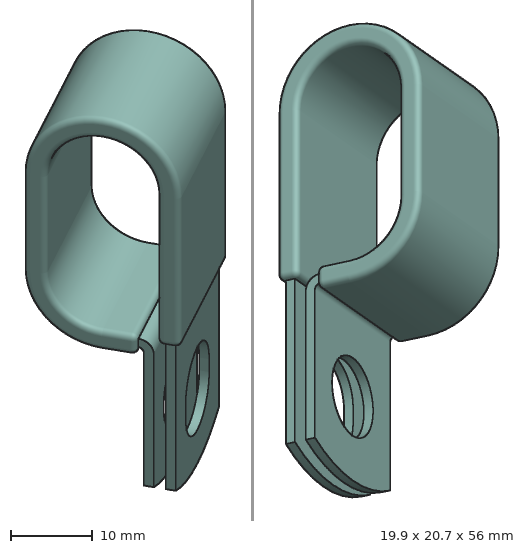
import cadquery as cq

strap_thickness = 1.3
strap_width = 19.1
tab_tip_sag = 2.2
hole_diameter = 10.35
slot_length = 12.25
hole_height = 11.15

cushion_margin = 0.8
cushion_thickness = strap_thickness + 2 * cushion_margin
cushion_width = strap_width + 2 * cushion_margin

total_height = 55.95
outer_radius = 9.95
straight_height = 14.25
shelf_length = 4.4
long_side_end = 23.9

top_center = total_height - outer_radius
low_center = top_center - straight_height

bend_inner_radius = 0.65
bend_outer_radius = bend_inner_radius + strap_thickness
strap_radius = outer_radius - cushion_margin
strap_bottom = low_center - strap_radius
bend_center_z = strap_bottom - bend_inner_radius
left_tab_x = shelf_length + bend_inner_radius
right_tab_x = strap_radius - strap_thickness


def centered_extrude(profile, width):
    """Extrude an XZ profile symmetrically about y = 0."""
    return profile.extrude(width / 2, both=True)


def make_cushion():
    inner_radius = outer_radius - cushion_thickness
    profile = (
        cq.Workplane("XZ")
        .moveTo(outer_radius, long_side_end)
        .lineTo(outer_radius, top_center)
        .threePointArc((0, total_height), (-outer_radius, top_center))
        .lineTo(-outer_radius, low_center)
        .radiusArc((0, low_center - outer_radius), -outer_radius)
        .lineTo(shelf_length, low_center - outer_radius)
        .lineTo(shelf_length, low_center - inner_radius)
        .lineTo(0, low_center - inner_radius)
        .radiusArc((-inner_radius, low_center), inner_radius)
        .lineTo(-inner_radius, top_center)
        .threePointArc((0, top_center + inner_radius), (inner_radius, top_center))
        .lineTo(inner_radius, long_side_end)
        .close()
    )
    cushion = centered_extrude(profile, cushion_width)
    long_end = cushion.faces(cq.selectors.NearestToPointSelector(
        (outer_radius - cushion_thickness / 2, 0, long_side_end)))
    shelf_end = cushion.faces(cq.selectors.NearestToPointSelector(
        (shelf_length, 0, low_center - outer_radius + cushion_thickness / 2)))
    rims = cushion.faces("<Y or >Y").edges()
    rounded_edges = rims.add(long_end.edges("|Y")).add(shelf_end.edges("|Y"))
    return rounded_edges.fillet(cushion_margin)


def make_left_tab():
    """Bent strap end, starting inside the lower run of the cushion."""
    profile = (
        cq.Workplane("XZ")
        .moveTo(0, strap_bottom)
        .lineTo(shelf_length, strap_bottom)
        .radiusArc((left_tab_x, bend_center_z), bend_inner_radius)
        .lineTo(left_tab_x, 0)
        .lineTo(left_tab_x + strap_thickness, 0)
        .lineTo(left_tab_x + strap_thickness, bend_center_z)
        .radiusArc((shelf_length, bend_center_z + bend_outer_radius), -bend_outer_radius)
        .lineTo(0, bend_center_z + bend_outer_radius)
        .close()
    )
    return centered_extrude(profile, strap_width)


def make_right_tab():
    """Straight strap end, starting inside the right side of the cushion."""
    profile = (
        cq.Workplane("XZ")
        .moveTo(right_tab_x, 0)
        .lineTo(strap_radius, 0)
        .lineTo(strap_radius, top_center)
        .lineTo(right_tab_x, top_center)
        .close()
    )
    return centered_extrude(profile, strap_width)


def make_tab_outline():
    """Solid along X with the curved tab outline at its lower end."""
    half_width = strap_width / 2
    return (
        cq.Workplane("YZ")
        .moveTo(-half_width, tab_tip_sag)
        .threePointArc((0, 0), (half_width, tab_tip_sag))
        .lineTo(half_width, total_height)
        .lineTo(-half_width, total_height)
        .close()
        .extrude(outer_radius)
    )


def make_hole_cutter():
    """Cylinder along X through the left tab."""
    plane = cq.Workplane("YZ").center(0, hole_height)
    return plane.circle(hole_diameter / 2).extrude(outer_radius)


def make_slot_cutter():
    """Slot along X, upright, through the right tab."""
    plane = cq.Workplane("YZ").center(0, hole_height)
    return plane.slot2D(slot_length, hole_diameter, 90).extrude(outer_radius)


tab_outline = make_tab_outline()
left_tab = make_left_tab().intersect(tab_outline).cut(make_hole_cutter())
right_tab = make_right_tab().intersect(tab_outline).cut(make_slot_cutter())
result = make_cushion().union(left_tab).union(right_tab)